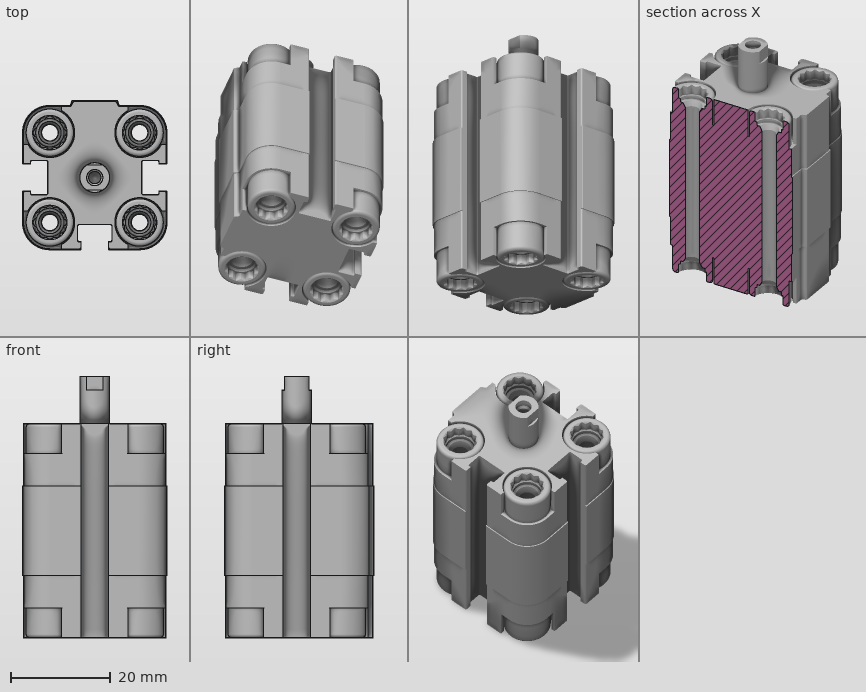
import cadquery as cq
import math

TOTAL_HEIGHT = 52.5
ROD_REACH = 9.5
END_HEIGHT = 12.5
HOUSING_HEIGHT = TOTAL_HEIGHT - ROD_REACH
BARREL_HEIGHT = HOUSING_HEIGHT - 2 * END_HEIGHT

BARREL_HALF_WIDTH = 29.0 / 2
BARREL_RIDGE_TOP = 15.5
BARREL_CREST_HALF_WIDTH = 4.55
BARREL_ROOT_HALF_WIDTH = 4.9
BARREL_EDGE_ROUND = 0.15
END_INSET = 0.2
END_CREST_HALF_WIDTH = 4.3
END_ROOT_HALF_WIDTH = 4.8
END_EDGE_ROUND = 0.3
SCREW_SPACING = 18.0
SCREW_OFFSET = SCREW_SPACING / 2

SLOT_HALF_WIDTH = 3.4
SLOT_FLOOR = 9.45
SLOT_LIP_INNER = 12.85
SLOT_MOUTH_HALF_WIDTH = 2.75
SLOT_CORNER_ROUND = 0.25

RECESS_DEPTH = 6.05
RECESS_DIAMETER = 10.0
RECESS_WALL = 6.65
HEAD_DIAMETER = 9.5
HEAD_ROUND = 0.7
SOCKET_FLATS = 6.0
SOCKET_DEPTH = 2.15
SOCKET_MOUTH_DIAMETER = 6.95
SOCKET_MOUTH_DEPTH = 0.35
COUNTERBORE_DIAMETER = 5.7
COUNTERBORE_DEPTH = 2.95
SCREW_CONE_DIAMETER = 4.5
SCREW_CONE_DEPTH = 1.05
SCREW_HOLE_DIAMETER = 3.3

ROD_DIAMETER = 6.0
ROD_ACROSS_FLATS = 5.0
ROD_FLAT_LENGTH = 2.8
ROD_BORE_DIAMETER = 3.25
ROD_BORE_DEPTH = 1.6
ROD_HOLE_DIAMETER = 2.45
ROD_HOLE_DEPTH = 6.0
DRILL_POINT_ANGLE = 118.0

EDGE_SEARCH = 0.1
SCREW_POINTS = [(x, y) for x in (-SCREW_OFFSET, SCREW_OFFSET) for y in (-SCREW_OFFSET, SCREW_OFFSET)]


def block(x_min, x_max, y_min, y_max, height, bottom=0):
    """Upright block between the given limits."""
    size_x = x_max - x_min
    size_y = y_max - y_min
    return cq.Workplane("XY").box(size_x, size_y, height, centered=False).translate((x_min, y_min, bottom))


def cylinder(diameter, height, bottom=0):
    """Upright cylinder on the Z axis."""
    return cq.Workplane("XY").circle(diameter / 2).extrude(height).translate((0, 0, bottom))


def cone(top_diameter, bottom_diameter, depth, top):
    """Cone on the Z axis that runs down from height `top`."""
    base = cq.Vector(0, 0, top - depth)
    return cq.Workplane(cq.Solid.makeCone(bottom_diameter / 2, top_diameter / 2, depth, base))


def turned(shape, angle):
    """The shape turned about the Z axis."""
    return shape.rotate((0, 0, 0), (0, 0, 1), angle)


def t_slot(half_width, height):
    """T-slot cutter that opens toward -Y."""
    channel = block(-SLOT_HALF_WIDTH, SLOT_HALF_WIDTH, -SLOT_LIP_INNER, -SLOT_FLOOR, height)
    channel = channel.edges("|Z").fillet(SLOT_CORNER_ROUND)
    neck = block(-SLOT_MOUTH_HALF_WIDTH, SLOT_MOUTH_HALF_WIDTH, -half_width, -SLOT_FLOOR, height)
    return channel.union(neck)


def ridge(root, crest, root_half_width, crest_half_width, height):
    """Tapered ridge on the +Y side, reaching from the axis out to `crest`."""
    return (
        cq.Workplane("XY")
        .moveTo(-root_half_width, 0)
        .lineTo(-root_half_width, root)
        .lineTo(-crest_half_width, crest)
        .lineTo(crest_half_width, crest)
        .lineTo(root_half_width, root)
        .lineTo(root_half_width, 0)
        .close()
        .extrude(height)
    )


def round_edge_pair(solid, x, y, radius):
    """Round the upright edges at (x, y) and (-x, y)."""
    top = solid.val().BoundingBox().zmax
    for side in (-x, x):
        low = (side - EDGE_SEARCH, y - EDGE_SEARCH, 0)
        high = (side + EDGE_SEARCH, y + EDGE_SEARCH, top)
        solid = solid.edges("|Z").edges(cq.selectors.BoxSelector(low, high)).fillet(radius)
    return solid


def section(inset, root_half_width, crest_half_width, edge_round, height):
    """Rounded square with a ridge on +Y and T-slots on the other three sides."""
    half_width = BARREL_HALF_WIDTH - inset
    crest = BARREL_RIDGE_TOP - inset
    solid = block(-half_width, half_width, -half_width, half_width, height)
    solid = solid.edges("|Z").fillet(half_width - SCREW_OFFSET)
    solid = solid.union(ridge(half_width, crest, root_half_width, crest_half_width, height))
    slot = t_slot(half_width, height)
    for angle in (-90, 0, 90):
        solid = solid.cut(turned(slot, angle))

    rounded_pairs = [
        (SLOT_MOUTH_HALF_WIDTH, -half_width),
        (half_width, -SLOT_MOUTH_HALF_WIDTH),
        (half_width, SLOT_MOUTH_HALF_WIDTH),
        (root_half_width, half_width),
        (crest_half_width, crest),
    ]
    for x, y in rounded_pairs:
        solid = round_edge_pair(solid, x, y, edge_round)
    return solid


def corner_recess():
    """Pocket around the screw head in the +X +Y corner, open to the outside."""
    bottom = END_HEIGHT - RECESS_DEPTH
    pocket = cylinder(RECESS_DIAMETER, RECESS_DEPTH, bottom).translate((SCREW_OFFSET, SCREW_OFFSET, 0))
    corner = block(
        RECESS_WALL, BARREL_HALF_WIDTH, RECESS_WALL, BARREL_HALF_WIDTH, RECESS_DEPTH, bottom
    )
    return pocket.union(corner)


def screw_head():
    """Round head with a rounded rim that fills the middle of a recess."""
    head = cylinder(HEAD_DIAMETER, RECESS_DEPTH, END_HEIGHT - RECESS_DEPTH)
    return head.faces(">Z").edges().fillet(HEAD_ROUND)


def screw_socket():
    """Cutter for the twelve-point socket, the counterbore and the hole below it."""
    across_corners = SOCKET_FLATS / math.cos(math.pi / 6)
    hexagon = cq.Workplane("XY").polygon(6, across_corners).extrude(SOCKET_DEPTH)
    star = hexagon.union(turned(hexagon, 30)).translate((0, 0, END_HEIGHT - SOCKET_DEPTH))
    mouth = cone(SOCKET_MOUTH_DIAMETER, SOCKET_FLATS, SOCKET_MOUTH_DEPTH, END_HEIGHT)
    seat = END_HEIGHT - COUNTERBORE_DEPTH
    counterbore = cylinder(COUNTERBORE_DIAMETER, COUNTERBORE_DEPTH, seat)
    funnel = cone(SCREW_CONE_DIAMETER, SCREW_HOLE_DIAMETER, SCREW_CONE_DEPTH, seat)
    hole = cylinder(SCREW_HOLE_DIAMETER, END_HEIGHT)
    return star.union(mouth).union(counterbore).union(funnel).union(hole)


def make_end():
    """End section with its outer face up and its inner face on Z = 0."""
    end = section(END_INSET, END_ROOT_HALF_WIDTH, END_CREST_HALF_WIDTH, END_EDGE_ROUND, END_HEIGHT)
    recess = corner_recess()
    for angle in (0, 90, 180, 270):
        end = end.cut(turned(recess, angle))
    head = screw_head()
    socket = screw_socket()
    for x, y in SCREW_POINTS:
        end = end.union(head.translate((x, y, 0)))
        end = end.cut(socket.translate((x, y, 0)))
    return end


def make_housing():
    """Barrel with screw holes and two mirrored ends, in one piece."""
    barrel = section(0, BARREL_ROOT_HALF_WIDTH, BARREL_CREST_HALF_WIDTH, BARREL_EDGE_ROUND, BARREL_HEIGHT)
    for x, y in SCREW_POINTS:
        barrel = barrel.cut(cylinder(SCREW_HOLE_DIAMETER, BARREL_HEIGHT).translate((x, y, 0)))
    barrel = barrel.translate((0, 0, END_HEIGHT))
    end = make_end()
    front_end = end.translate((0, 0, HOUSING_HEIGHT - END_HEIGHT))
    rear_end = end.mirror("XY").translate((0, 0, END_HEIGHT))
    return barrel.union(front_end).union(rear_end).clean()


def make_rod():
    """Piston rod with two wrench flats and a stepped blind hole, standing on the housing."""
    rod = cylinder(ROD_DIAMETER, ROD_REACH)
    radius = ROD_DIAMETER / 2
    flat = block(-radius, radius, ROD_ACROSS_FLATS / 2, radius, ROD_FLAT_LENGTH, ROD_REACH - ROD_FLAT_LENGTH)
    rod = rod.cut(flat).cut(flat.mirror("XZ"))

    bore_bottom = ROD_REACH - ROD_BORE_DEPTH
    hole_bottom = ROD_REACH - ROD_HOLE_DEPTH
    step_depth = (ROD_BORE_DIAMETER - ROD_HOLE_DIAMETER) / 2
    point_depth = ROD_HOLE_DIAMETER / 2 / math.tan(math.radians(DRILL_POINT_ANGLE / 2))
    rod = rod.cut(cylinder(ROD_BORE_DIAMETER, ROD_BORE_DEPTH, bore_bottom))
    rod = rod.cut(cone(ROD_BORE_DIAMETER, ROD_HOLE_DIAMETER, step_depth, bore_bottom))
    rod = rod.cut(cylinder(ROD_HOLE_DIAMETER, ROD_HOLE_DEPTH, hole_bottom))
    rod = rod.cut(cone(ROD_HOLE_DIAMETER, 0, point_depth, hole_bottom))
    return rod.translate((0, 0, HOUSING_HEIGHT))


housing = make_housing()
rod = make_rod()

result = cq.Compound.makeCompound([housing.val(), rod.val()])